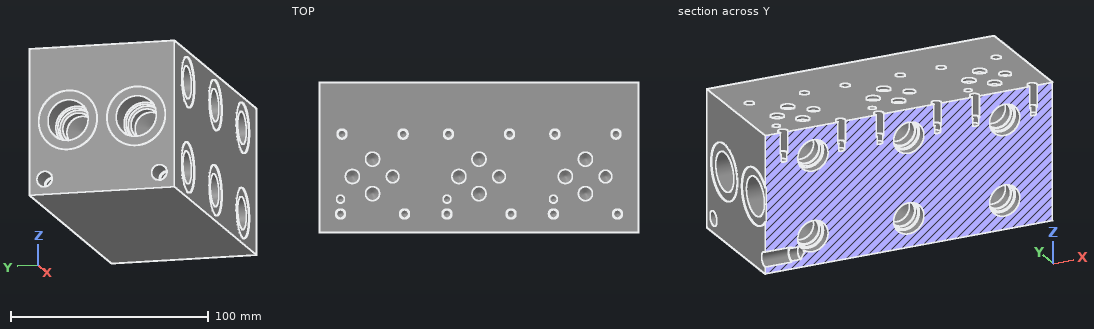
import cadquery as cq
import math

LENGTH = 161.93
WIDTH = 76.2
HEIGHT = 76.2

STATION_COUNT = 3
STATION_PITCH = 54.0
STATION_XS = [LENGTH / 2 + (i - (STATION_COUNT - 1) / 2) * STATION_PITCH for i in range(STATION_COUNT)]

DRILL_POINT_ANGLE = 118.0

WORK_PORT_ZS = (16.0, 60.3)
WORK_SPOTFACE_DIAMETER = 25.93
WORK_THREAD_DIAMETER = 16.76
WORK_TAP_DIAMETER = 15.06
WORK_PASSAGE_DIAMETER = 14.28
WORK_THREAD_DEPTH = 13.0
WORK_TAP_DEPTH = 16.0
WORK_PASSAGE_DEPTH = 22.0

SUPPLY_PORT_SPACING = 35.8
SUPPLY_PORT_YS = (WIDTH / 2 - SUPPLY_PORT_SPACING / 2, WIDTH / 2 + SUPPLY_PORT_SPACING / 2)
SUPPLY_PORT_Z = HEIGHT / 2
SUPPLY_SPOTFACE_DIAMETER = 30.68
SUPPLY_THREAD_DIAMETER = 21.06
SUPPLY_TAP_DIAMETER = 18.92
SUPPLY_PASSAGE_DIAMETER = 15.88
SUPPLY_THREAD_DEPTH = 16.0
SUPPLY_TAP_DEPTH = 20.0
SUPPLY_PASSAGE_DEPTH = 28.0

SPOTFACE_DEPTH = 0.5

MOUNT_EDGE_DISTANCE = 8.0
MOUNT_THREAD_DIAMETER = 8.0
MOUNT_THREAD_DEPTH = 15.0
MOUNT_DRILL_DIAMETER = 6.76
MOUNT_DRILL_DEPTH = 20.0

VALVE_REAR_BOLT_Y = 50.0
VALVE_BOLT_ROW_SPACING = 40.5
VALVE_FRONT_BOLT_Y = VALVE_REAR_BOLT_Y - VALVE_BOLT_ROW_SPACING
VALVE_REAR_BOLT_HALF_SPACING = 15.5
VALVE_FRONT_BOLT_HALF_SPACING = 16.25
BOLT_THREAD_DIAMETER = 5.0
BOLT_THREAD_DEPTH = 12.0
BOLT_DRILL_DIAMETER = 4.22
BOLT_DRILL_DEPTH = 16.0
PIN_SETBACK = 33.0
PIN_Y = VALVE_REAR_BOLT_Y - PIN_SETBACK
PIN_DIAMETER = 3.96
PIN_DEPTH = 5.0
SIDE_PORT_SETBACK = 21.5
VALVE_SIDE_PORT_Y = VALVE_REAR_BOLT_Y - SIDE_PORT_SETBACK
VALVE_SIDE_PORT_OFFSET = 10.2
REAR_PORT_SETBACK = 12.7
VALVE_REAR_PORT_Y = VALVE_REAR_BOLT_Y - REAR_PORT_SETBACK
FRONT_PORT_SETBACK = 30.2
VALVE_FRONT_PORT_Y = VALVE_REAR_BOLT_Y - FRONT_PORT_SETBACK
VALVE_PORT_DIAMETER = 7.14
VALVE_PRESSURE_DIAMETER = 6.35
VALVE_PORT_DEPTH = 2.0

FRONT_INWARD = cq.Vector(0, 1, 0)
END_INWARD = cq.Vector(1, 0, 0)
TOP_INWARD = cq.Vector(0, 0, -1)


def drilled_hole(mouth, inward, diameter, depth):
    """Cylinder of the given depth ending in a drill-point cone."""
    radius = diameter / 2
    point_depth = radius / math.tan(math.radians(DRILL_POINT_ANGLE / 2))
    bore = cq.Solid.makeCylinder(radius, depth, mouth, inward)
    point = cq.Solid.makeCone(radius, 0, point_depth, mouth + inward * depth, inward)
    return bore.fuse(point)


def tapped_hole(mouth, inward, thread_diameter, thread_depth, drill_diameter, drill_depth):
    """Thread bore at the major diameter, stepping down to the tap drilling."""
    thread = cq.Solid.makeCylinder(thread_diameter / 2, thread_depth, mouth, inward)
    return thread.fuse(drilled_hole(mouth, inward, drill_diameter, drill_depth))


def threaded_port(mouth, inward, spotface, thread, thread_depth, tap, tap_depth, passage, passage_depth):
    """Spotface, then thread bore, tap bore and passage, each narrower and deeper than the last."""
    port = cq.Solid.makeCylinder(spotface / 2, SPOTFACE_DEPTH, mouth, inward)
    for diameter, depth in ((thread, thread_depth), (tap, tap_depth)):
        port = port.fuse(cq.Solid.makeCylinder(diameter / 2, depth, mouth, inward))
    return port.fuse(drilled_hole(mouth, inward, passage, passage_depth))


def work_ports():
    return [
        threaded_port(
            cq.Vector(x, 0, z), FRONT_INWARD, WORK_SPOTFACE_DIAMETER,
            WORK_THREAD_DIAMETER, WORK_THREAD_DEPTH,
            WORK_TAP_DIAMETER, WORK_TAP_DEPTH,
            WORK_PASSAGE_DIAMETER, WORK_PASSAGE_DEPTH,
        )
        for x in STATION_XS
        for z in WORK_PORT_ZS
    ]


def supply_ports():
    return [
        threaded_port(
            cq.Vector(0, y, SUPPLY_PORT_Z), END_INWARD, SUPPLY_SPOTFACE_DIAMETER,
            SUPPLY_THREAD_DIAMETER, SUPPLY_THREAD_DEPTH,
            SUPPLY_TAP_DIAMETER, SUPPLY_TAP_DEPTH,
            SUPPLY_PASSAGE_DIAMETER, SUPPLY_PASSAGE_DEPTH,
        )
        for y in SUPPLY_PORT_YS
    ]


def mounting_holes():
    return [
        tapped_hole(
            cq.Vector(0, y, MOUNT_EDGE_DISTANCE), END_INWARD,
            MOUNT_THREAD_DIAMETER, MOUNT_THREAD_DEPTH,
            MOUNT_DRILL_DIAMETER, MOUNT_DRILL_DEPTH,
        )
        for y in (MOUNT_EDGE_DISTANCE, WIDTH - MOUNT_EDGE_DISTANCE)
    ]


def valve_bolt_holes(x):
    places = [
        (x + side * half_spacing, y)
        for half_spacing, y in (
            (VALVE_REAR_BOLT_HALF_SPACING, VALVE_REAR_BOLT_Y),
            (VALVE_FRONT_BOLT_HALF_SPACING, VALVE_FRONT_BOLT_Y),
        )
        for side in (-1, 1)
    ]
    return [
        tapped_hole(
            cq.Vector(px, py, HEIGHT), TOP_INWARD,
            BOLT_THREAD_DIAMETER, BOLT_THREAD_DEPTH,
            BOLT_DRILL_DIAMETER, BOLT_DRILL_DEPTH,
        )
        for px, py in places
    ]


def valve_passages(x):
    """Four flow passages in a diamond; the pressure passage is the smaller one."""
    passages = (
        (x, VALVE_REAR_PORT_Y, VALVE_PORT_DIAMETER),
        (x, VALVE_FRONT_PORT_Y, VALVE_PORT_DIAMETER),
        (x - VALVE_SIDE_PORT_OFFSET, VALVE_SIDE_PORT_Y, VALVE_PORT_DIAMETER),
        (x + VALVE_SIDE_PORT_OFFSET, VALVE_SIDE_PORT_Y, VALVE_PRESSURE_DIAMETER),
    )
    return [
        drilled_hole(cq.Vector(px, py, HEIGHT), TOP_INWARD, diameter, VALVE_PORT_DEPTH)
        for px, py, diameter in passages
    ]


def locating_pin_hole(x):
    mouth = cq.Vector(x - VALVE_FRONT_BOLT_HALF_SPACING, PIN_Y, HEIGHT)
    return drilled_hole(mouth, TOP_INWARD, PIN_DIAMETER, PIN_DEPTH)


cutters = work_ports() + supply_ports() + mounting_holes()
for station_x in STATION_XS:
    cutters += valve_bolt_holes(station_x)
    cutters += valve_passages(station_x)
    cutters.append(locating_pin_hole(station_x))

block = cq.Workplane("XY").box(LENGTH, WIDTH, HEIGHT, centered=False)
result = cq.Workplane(block.val().cut(*cutters))